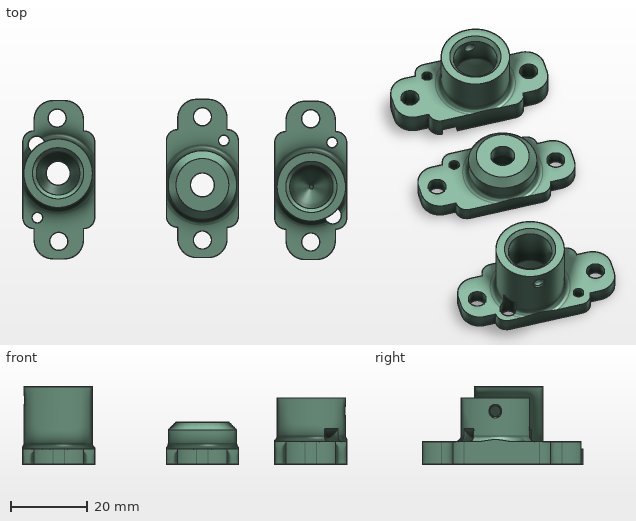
import cadquery as cq
import math

PLATE_WIDTH = 19.0
PLATE_LENGTH = 25.8
PLATE_CORNER_RADIUS = 3.0
FLANGE_WIDTH = PLATE_WIDTH - 2 * PLATE_CORNER_RADIUS
FLANGE_LENGTH = 41.7
FLANGE_CORNER_RADIUS = 5.0
SCREW_HOLE_DIAMETER = 4.7
SCREW_HOLE_OFFSET = 16.2
PIN_HOLE_DIAMETER = 2.7
PIN_HOLE_X = 5.6
PIN_HOLE_Y = 10.0

BOSS_DIAMETER = 18.0
BOSS_OFFSET_Y = 1.7
BOSS_FILLET_RADIUS = 1.5

SOCKET_SHIFT_X = 0.2
BORE_DIAMETER = 11.4
MOUTH_CHAMFER = 1.0
CONE_ANGLE = 31
SET_SCREW_DIAMETER = 2.8
SET_SCREW_RIM_DIAMETER = 3.6
SET_SCREW_RIM_DEPTH = 0.4
SET_SCREW_DROP = 3.5
RELIEF_DIAMETER = 4.4
RELIEF_X = 5.8
RELIEF_Y = 9.2
RELIEF_ROOF_ANGLE = 53

THIN_PLATE = 4.0
THICK_PLATE = 6.0
TALL_HEIGHT = 20.5
CAP_HEIGHT = 11.1
SHORT_HEIGHT = 17.5
TALL_X = -37.8
SHORT_X = 28.5
TALL_Y = -0.3
SHORT_Y = -0.5

THROUGH_DIAMETER = 6.2
TALL_BORE_DEPTH = 12.8
TALL_RELIEF_HEIGHT = 7.8
TALL_SCREW_SHIFT_X = 0.4
CAP_CHAMFER = 2.05
CAP_RECESS_DIAMETER = 10.5
CAP_RECESS_DEPTH = 7.3
SHORT_BORE_DEPTH = 8.5
SHORT_TIP_DIAMETER = 1.1
SHORT_RELIEF_HEIGHT = 9.4
NOTCH_WIDTH = 4.0
NOTCH_HEIGHT = 2.0
NOTCH_DEPTH = 4.0


def cylinder(x, y, diameter, bottom, top):
    """Upright cylinder between two heights."""
    return cq.Workplane("XY", origin=(x, y, bottom)).circle(diameter / 2).extrude(top - bottom)


def rounded_block(width, length, radius, height):
    return cq.Workplane("XY").rect(width, length).extrude(height).edges("|Z").fillet(radius)


def plate_profile(thickness):
    """Rounded plate with a narrower screw flange at each end."""
    plate = rounded_block(PLATE_WIDTH, PLATE_LENGTH, PLATE_CORNER_RADIUS, thickness)
    flanges = rounded_block(FLANGE_WIDTH, FLANGE_LENGTH, FLANGE_CORNER_RADIUS, thickness)
    return plate.union(flanges)


def boss(x, thickness, height):
    """Boss with a concave fillet at its foot, trimmed to the width of the plate."""
    radius = BOSS_DIAMETER / 2
    foot = radius + BOSS_FILLET_RADIUS
    bend = BOSS_FILLET_RADIUS * (1 - math.sqrt(0.5))
    half_section = (
        cq.Workplane("XZ")
        .lineTo(foot, 0)
        .lineTo(foot, thickness)
        .threePointArc((radius + bend, thickness + bend), (radius, thickness + BOSS_FILLET_RADIUS))
        .lineTo(radius, height)
        .lineTo(0, height)
        .close()
    )
    turned = half_section.revolve(360, (0, 0, 0), (0, 1, 0)).translate((x, -BOSS_OFFSET_Y, 0))
    trim = cq.Workplane("XY").box(PLATE_WIDTH, FLANGE_LENGTH, height, centered=(True, True, False))
    return turned.intersect(trim)


def flanged_boss(boss_x, thickness, height, screw_shift=0):
    """Plate with a boss toward -Y, a pin hole and two screw holes, the -Y one shifted along X."""
    body = plate_profile(thickness).union(boss(boss_x, thickness, height))
    holes = [
        (screw_shift, -SCREW_HOLE_OFFSET, SCREW_HOLE_DIAMETER),
        (0, SCREW_HOLE_OFFSET, SCREW_HOLE_DIAMETER),
        (PIN_HOLE_X, PIN_HOLE_Y, PIN_HOLE_DIAMETER),
    ]
    for x, y, diameter in holes:
        body = body.cut(cylinder(x, y, diameter, 0, thickness))
    return body


def socket_bore(height, depth, tip_diameter):
    """Chamfered bore that ends in a cone narrowing to the tip diameter."""
    bore_radius = BORE_DIAMETER / 2
    tip_radius = tip_diameter / 2
    bore_floor = height - depth
    cone_depth = (bore_radius - tip_radius) * math.tan(math.radians(CONE_ANGLE))
    half_section = (
        cq.Workplane("XZ")
        .moveTo(0, height)
        .lineTo(bore_radius + MOUTH_CHAMFER, height)
        .lineTo(bore_radius, height - MOUTH_CHAMFER)
        .lineTo(bore_radius, bore_floor)
        .lineTo(tip_radius, bore_floor - cone_depth)
        .lineTo(0, bore_floor - cone_depth)
        .close()
    )
    bore = half_section.revolve(360, (0, 0, 0), (0, 1, 0))
    return bore.translate((SOCKET_SHIFT_X, -BOSS_OFFSET_Y, 0))


def set_screw_hole(height):
    """Hole through the +X wall of the boss, countersunk on the outside."""
    length = BOSS_DIAMETER / 2
    radius = SET_SCREW_DIAMETER / 2
    rim_radius = SET_SCREW_RIM_DIAMETER / 2
    half_section = (
        cq.Workplane("XY")
        .lineTo(length, 0)
        .lineTo(length, rim_radius)
        .lineTo(length - SET_SCREW_RIM_DEPTH, radius)
        .lineTo(0, radius)
        .close()
    )
    hole = half_section.revolve(360, (0, 0, 0), (1, 0, 0))
    return hole.translate((SOCKET_SHIFT_X, -BOSS_OFFSET_Y, height - SET_SCREW_DROP))


def relief(height):
    """Upright hole whose roof slopes down from the boss surface towards the boss axis."""
    radius = BOSS_DIAMETER / 2
    slope = math.tan(math.radians(RELIEF_ROOF_ANGLE))
    roof = cq.Solid.makeCone(0, radius, radius * slope, cq.Vector(0, 0, height - radius * slope))
    roof = cq.Workplane(roof).translate((SOCKET_SHIFT_X, -BOSS_OFFSET_Y, 0))
    return cylinder(RELIEF_X, -RELIEF_Y, RELIEF_DIAMETER, 0, height).cut(roof)


def socket(thickness, height, bore_depth, tip_diameter, relief_height, screw_shift=0):
    """Tall body: bored boss with a set screw hole and a relief rising from below."""
    body = flanged_boss(SOCKET_SHIFT_X, thickness, height, screw_shift)
    body = body.cut(socket_bore(height, bore_depth, tip_diameter))
    body = body.cut(set_screw_hole(height))
    return body.cut(relief(relief_height))


def make_tall_socket():
    """Socket open at the bottom, turned half a revolution."""
    body = socket(
        THIN_PLATE, TALL_HEIGHT, TALL_BORE_DEPTH, THROUGH_DIAMETER, TALL_RELIEF_HEIGHT, TALL_SCREW_SHIFT_X
    )
    body = body.cut(cylinder(SOCKET_SHIFT_X, -BOSS_OFFSET_Y, THROUGH_DIAMETER, 0, TALL_HEIGHT))
    return body.rotate((0, 0, 0), (0, 0, 1), 180).translate((TALL_X, TALL_Y, 0))


def make_cap():
    """Low body with a chamfered boss, a through hole and a wider recess below."""
    body = flanged_boss(0, THIN_PLATE, CAP_HEIGHT).faces(">Z").edges().chamfer(CAP_CHAMFER)
    body = body.cut(cylinder(0, -BOSS_OFFSET_Y, THROUGH_DIAMETER, 0, CAP_HEIGHT))
    return body.cut(cylinder(0, -BOSS_OFFSET_Y, CAP_RECESS_DIAMETER, 0, CAP_RECESS_DEPTH))


def make_short_socket():
    """Closed socket with a notch under its -X side."""
    body = socket(THICK_PLATE, SHORT_HEIGHT, SHORT_BORE_DEPTH, SHORT_TIP_DIAMETER, SHORT_RELIEF_HEIGHT)
    notch_y = PLATE_LENGTH / 2 - PLATE_CORNER_RADIUS - NOTCH_WIDTH / 2
    notch = cq.Workplane("XY").box(NOTCH_DEPTH, NOTCH_WIDTH, NOTCH_HEIGHT, centered=(False, True, False))
    body = body.cut(notch.translate((-PLATE_WIDTH / 2, notch_y, 0)))
    return body.translate((SHORT_X, SHORT_Y, 0))


tall_socket = make_tall_socket()
cap = make_cap()
short_socket = make_short_socket()

result = cq.Compound.makeCompound([tall_socket.val(), cap.val(), short_socket.val()])